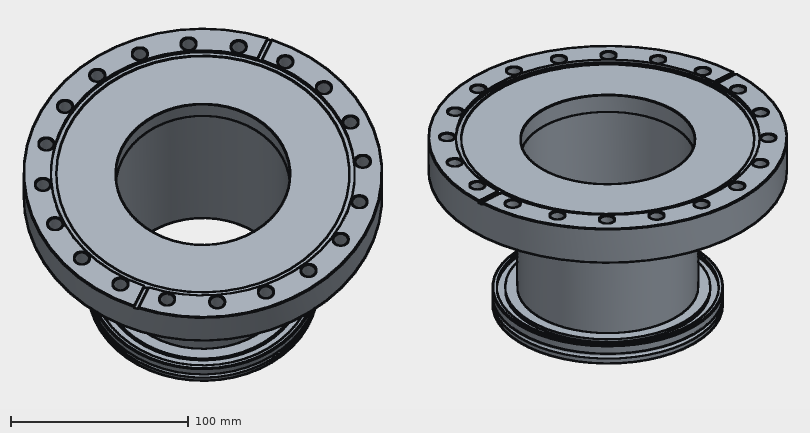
import cadquery as cq

TOTAL_HEIGHT = 110.0

BORE_DIAMETER = 98.0
BORE_CHAMFER = 0.3

BOLTED_DIAMETER = 202.2
BOLTED_THICKNESS = 22.5
BOLTED_CHAMFER = 0.5
BOLT_COUNT = 20
BOLT_HOLE_DIAMETER = 8.3
BOLT_HOLE_CHAMFER = 0.5
BOLT_CIRCLE_DIAMETER = 181.0
RECESS_DIAMETER = 171.3
RECESS_DEPTH = 1.8
KNIFE_DIAMETER = 165.5
KNIFE_DEPTH = 1.0
SEAL_FLOOR_DIAMETER = 165.0
SEAL_FLOOR_DEPTH = 1.5
LEAK_SLOT_WIDTH = 2.6
LEAK_SLOT_DEPTH = 1.2

TUBE_OUTER_DIAMETER = 102.1
TUBE_TOP_SETBACK = 12.5

CLAMPED_DIAMETER = 130.0
CLAMPED_THICKNESS = 12.0
CLAMPED_CHAMFER = 0.5
CLAW_GROOVE_INNER_DIAMETER = 115.7
CLAW_GROOVE_OUTER_DIAMETER = 125.2
CLAW_GROOVE_DEPTH = 1.8
RIM_GROOVE_RADIUS = 1.52
RIM_GROOVE_HEIGHT = 5.0

BOLTED_BOTTOM = TOTAL_HEIGHT - BOLTED_THICKNESS
TUBE_TOP = TOTAL_HEIGHT - TUBE_TOP_SETBACK

BOLT_PITCH = 360.0 / BOLT_COUNT
FIRST_BOLT_ANGLE = BOLT_PITCH / 4
LEAK_SLOT_ANGLE = FIRST_BOLT_ANGLE + 6.5 * BOLT_PITCH


def revolve_about_z(profile):
    """Turn a closed (radius, height) profile a full circle about the Z axis."""
    return profile.close().revolve(360, (0, 0, 0), (0, 1, 0))


def bolted_blank():
    """Turned flange with its knife-edge seal and the socket for the tube."""
    outer = BOLTED_DIAMETER / 2
    bore = BORE_DIAMETER / 2
    socket = TUBE_OUTER_DIAMETER / 2
    recess = RECESS_DIAMETER / 2
    knife = KNIFE_DIAMETER / 2
    seal_floor = TOTAL_HEIGHT - SEAL_FLOOR_DEPTH
    profile = (
        cq.Workplane("XZ")
        .moveTo(socket, BOLTED_BOTTOM)
        .lineTo(outer - BOLTED_CHAMFER, BOLTED_BOTTOM)
        .lineTo(outer, BOLTED_BOTTOM + BOLTED_CHAMFER)
        .lineTo(outer, TOTAL_HEIGHT - BOLTED_CHAMFER)
        .lineTo(outer - BOLTED_CHAMFER, TOTAL_HEIGHT)
        .lineTo(recess, TOTAL_HEIGHT)
        .lineTo(recess, TOTAL_HEIGHT - RECESS_DEPTH)
        .lineTo(knife, TOTAL_HEIGHT - KNIFE_DEPTH)
        .lineTo(SEAL_FLOOR_DIAMETER / 2, seal_floor)
        .lineTo(bore + BORE_CHAMFER, seal_floor)
        .lineTo(bore, seal_floor - BORE_CHAMFER)
        .lineTo(bore, TUBE_TOP)
        .lineTo(socket, TUBE_TOP)
    )
    return revolve_about_z(profile)


def bolt_hole_cutter():
    """Through hole with a small chamfer where it meets the sealing side."""
    radius = BOLT_HOLE_DIAMETER / 2
    profile = (
        cq.Workplane("XZ")
        .moveTo(0, BOLTED_BOTTOM)
        .lineTo(radius, BOLTED_BOTTOM)
        .lineTo(radius, TOTAL_HEIGHT - BOLT_HOLE_CHAMFER)
        .lineTo(radius + BOLT_HOLE_CHAMFER, TOTAL_HEIGHT)
        .lineTo(0, TOTAL_HEIGHT)
    )
    return revolve_about_z(profile).translate((BOLT_CIRCLE_DIAMETER / 2, 0, 0))


def leak_slot(angle):
    """Shallow radial slot from the seal recess out through the rim."""
    inner = (RECESS_DIAMETER + KNIFE_DIAMETER) / 4
    outer = BOLTED_DIAMETER / 2
    return (
        cq.Workplane("XY")
        .workplane(offset=TOTAL_HEIGHT - LEAK_SLOT_DEPTH)
        .center((inner + outer) / 2, 0)
        .rect(outer - inner, LEAK_SLOT_WIDTH)
        .extrude(LEAK_SLOT_DEPTH)
        .rotate((0, 0, 0), (0, 0, 1), angle)
    )


def make_bolted_flange():
    flange = bolted_blank()
    hole = bolt_hole_cutter()
    for index in range(BOLT_COUNT):
        angle = FIRST_BOLT_ANGLE + index * BOLT_PITCH
        flange = flange.cut(hole.rotate((0, 0, 0), (0, 0, 1), angle))
    for angle in (LEAK_SLOT_ANGLE, LEAK_SLOT_ANGLE + 180):
        flange = flange.cut(leak_slot(angle))
    return flange


def make_tube():
    return (
        cq.Workplane("XY")
        .circle(TUBE_OUTER_DIAMETER / 2)
        .circle(BORE_DIAMETER / 2)
        .extrude(TUBE_TOP)
    )


def make_clamped_flange():
    """Turned flange with a claw groove on top and a round groove in its rim."""
    outer = CLAMPED_DIAMETER / 2
    claw_floor = CLAMPED_THICKNESS - CLAW_GROOVE_DEPTH
    profile = (
        cq.Workplane("XZ")
        .moveTo(TUBE_OUTER_DIAMETER / 2, 0)
        .lineTo(outer - CLAMPED_CHAMFER, 0)
        .lineTo(outer, CLAMPED_CHAMFER)
        .lineTo(outer, RIM_GROOVE_HEIGHT - RIM_GROOVE_RADIUS)
        .threePointArc(
            (outer - RIM_GROOVE_RADIUS, RIM_GROOVE_HEIGHT),
            (outer, RIM_GROOVE_HEIGHT + RIM_GROOVE_RADIUS),
        )
        .lineTo(outer, CLAMPED_THICKNESS - CLAMPED_CHAMFER)
        .lineTo(outer - CLAMPED_CHAMFER, CLAMPED_THICKNESS)
        .lineTo(CLAW_GROOVE_OUTER_DIAMETER / 2, CLAMPED_THICKNESS)
        .lineTo(CLAW_GROOVE_OUTER_DIAMETER / 2, claw_floor)
        .lineTo(CLAW_GROOVE_INNER_DIAMETER / 2, claw_floor)
        .lineTo(CLAW_GROOVE_INNER_DIAMETER / 2, CLAMPED_THICKNESS)
        .lineTo(TUBE_OUTER_DIAMETER / 2, CLAMPED_THICKNESS)
    )
    return revolve_about_z(profile)


bolted_flange = make_bolted_flange()
tube = make_tube()
clamped_flange = make_clamped_flange()

result = cq.Compound.makeCompound(
    [bolted_flange.val(), tube.val(), clamped_flange.val()]
)